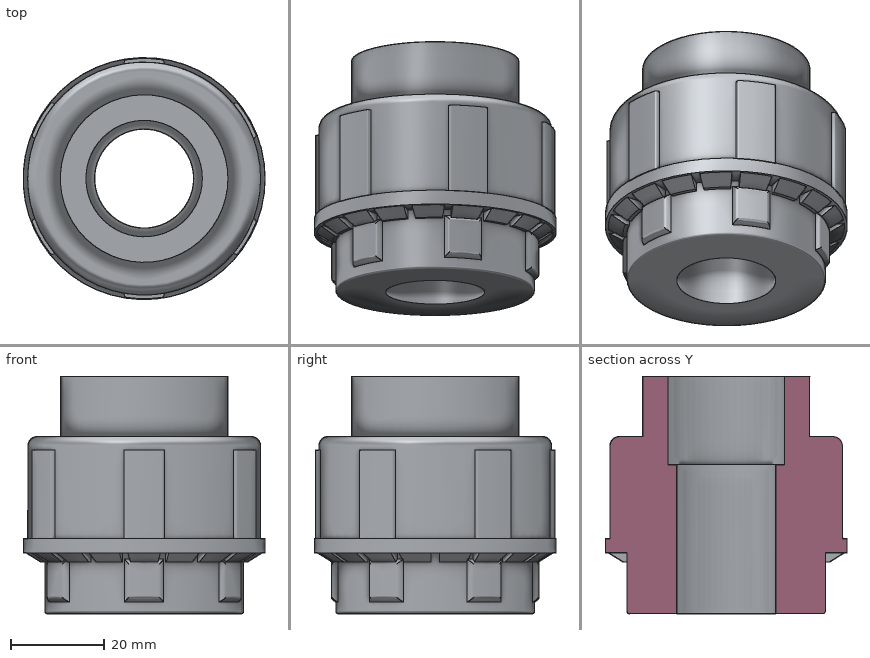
import cadquery as cq
import math

total_height = 51.0
pad_bottom = 2.5
teeth_bottom = 11.15
pad_top = 11.75
flange_bottom = 13.1
flange_top = 16.15
rib_top = 35.15
nut_top = 38.1

flange_radius = 52 / 2
nut_radius = 50.0 / 2
body_radius = 42.7 / 2
spigot_radius = 36.0 / 2
socket_radius = 25.0 / 2
bore_radius = 21.2 / 2
socket_depth = 19.0
nut_edge_radius = 2.1
body_edge_radius = 0.5

cone_top_radius = 25.4
cone_bottom_radius = 22.2
tooth_count = 18
tooth_gap = 1.8

grip_count = 6
rib_radius = 25.8
rib_width = 8.75
rib_edge_radius = 0.4
rib_side_inset = 0.2
pad_radius = 22.35
pad_width = 8.35
pad_side_inset = 0.55
pad_end_inset = 0.75
pad_edge_radius = 0.85


def disc(radius, bottom, top):
    """Upright cylinder between two heights."""
    return cq.Workplane("XY").workplane(offset=bottom).circle(radius).extrude(top - bottom)


def around_axis(shape, count):
    """Equally spaced copies of a shape around the Z axis."""
    copies = shape
    for index in range(1, count):
        copies = copies.union(shape.rotate((0, 0, 0), (0, 0, 1), index * 360 / count))
    return copies


def make_turned_body():
    body = disc(body_radius, 0, flange_bottom).faces("<Z").edges().fillet(body_edge_radius)
    flange = disc(flange_radius, flange_bottom, flange_top)
    nut = disc(nut_radius, flange_top, nut_top).faces(">Z").edges().fillet(nut_edge_radius)
    spigot = disc(spigot_radius, nut_top, total_height)
    return body.union(flange).union(nut).union(spigot)


def make_teeth():
    """Cone under the flange, split into teeth by radial gaps down to the body."""
    cone = (
        cq.Workplane("XZ")
        .moveTo(0, teeth_bottom)
        .lineTo(cone_bottom_radius, teeth_bottom)
        .lineTo(cone_top_radius, flange_bottom)
        .lineTo(0, flange_bottom)
        .close()
        .revolve(360, (0, 0, 0), (0, 1, 0))
    )
    gap_height = flange_bottom - teeth_bottom
    gap = (
        cq.Workplane("XY")
        .workplane(offset=teeth_bottom)
        .center(flange_radius / 2, 0)
        .rect(flange_radius, tooth_gap)
        .extrude(gap_height)
    )
    return cone.cut(around_axis(gap, tooth_count))


def make_rib():
    """Upright rib with slightly tapered sides and rounded outer edges."""
    base_half = rib_width / 2
    crown_half = base_half - rib_side_inset
    base_depth = math.sqrt(nut_radius**2 - base_half**2)
    crown_depth = math.sqrt(rib_radius**2 - crown_half**2)
    root_depth = spigot_radius
    rib = (
        cq.Workplane("XY")
        .workplane(offset=flange_top)
        .moveTo(-base_half, -root_depth)
        .lineTo(-base_half, -base_depth)
        .lineTo(-crown_half, -crown_depth)
        .threePointArc((0, -rib_radius), (crown_half, -crown_depth))
        .lineTo(base_half, -base_depth)
        .lineTo(base_half, -root_depth)
        .close()
        .extrude(rib_top - flange_top)
    )
    crown_edges = cq.selectors.BoxSelector(
        (-rib_width, -flange_radius, flange_top),
        (rib_width, -crown_depth + rib_edge_radius / 2, rib_top),
    )
    return rib.edges("|Z").edges(crown_edges).fillet(rib_edge_radius)


def make_pad():
    """Raised pad: conical ends, tapered sides and rounded edges around the crown."""
    base_half = pad_width / 2
    base_depth = math.sqrt(body_radius**2 - base_half**2)
    crown_half = base_half - pad_side_inset
    crown_depth = math.sqrt(pad_radius**2 - crown_half**2)
    root_depth = socket_radius
    ring = (
        cq.Workplane("XZ")
        .moveTo(root_depth, pad_bottom)
        .lineTo(body_radius, pad_bottom)
        .lineTo(pad_radius, pad_bottom + pad_end_inset)
        .lineTo(pad_radius, pad_top - pad_end_inset)
        .lineTo(body_radius, pad_top)
        .lineTo(root_depth, pad_top)
        .close()
        .revolve(360, (0, 0, 0), (0, 1, 0))
    )
    side_slope = pad_side_inset / (crown_depth - base_depth)
    outer_half = crown_half - side_slope * (flange_radius - crown_depth)
    wedge = (
        cq.Workplane("XY")
        .moveTo(-base_half, -root_depth)
        .lineTo(-base_half, -base_depth)
        .lineTo(-outer_half, -flange_radius)
        .lineTo(outer_half, -flange_radius)
        .lineTo(base_half, -base_depth)
        .lineTo(base_half, -root_depth)
        .close()
        .extrude(flange_bottom)
    )
    return wedge.intersect(ring).faces("<Y").edges().fillet(pad_edge_radius)


def make_bore():
    through = disc(bore_radius, 0, total_height)
    socket = disc(socket_radius, total_height - socket_depth, total_height)
    return through.union(socket)


result = (
    make_turned_body()
    .union(make_teeth())
    .union(around_axis(make_rib(), grip_count))
    .union(around_axis(make_pad(), grip_count))
    .cut(make_bore())
)